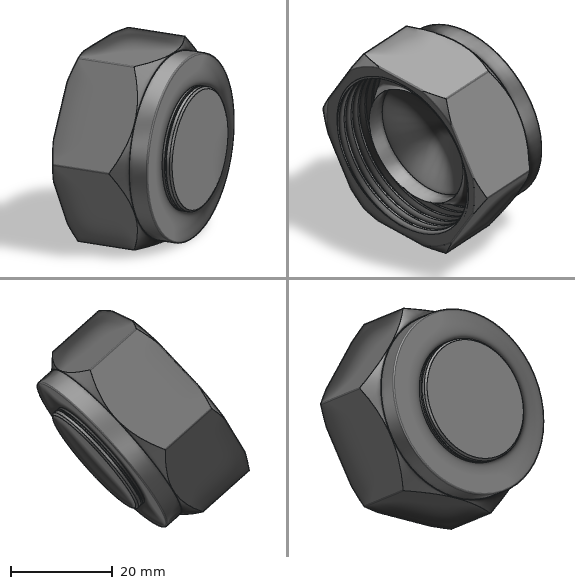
import cadquery as cq
import math


across_flats = 38.0
corner_radius = across_flats / 2 / math.cos(math.radians(30))
nut_length = 20.6
collar_length = 4.0
hexagon_length = nut_length - collar_length
collar_radius = 18.95
edge_round = 0.25
front_face_radius = 19.7
front_chamfer_angle = 30.0
back_chamfer_angle = 45.0

pitch = 2.0
thread_major_radius = 18.0
flank_slope = math.tan(math.radians(30))
sharp_thread_height = pitch / (2 * flank_slope)
thread_depth = sharp_thread_height * 5 / 8
bore_radius = thread_major_radius - thread_depth
root_width = pitch / 8
thread_turn_angle = 219.0

stem_radius = 12.5
nose_x = 4.5
seat_x = 12.0
plug_end = 22.6
hole_depth = 3.8
drill_half_angle = 60.0
drill_tip_depth = stem_radius / math.tan(math.radians(drill_half_angle))
groove_start = nut_length + 0.5
groove_width = 0.4
groove_depth = 0.5
end_chamfer = 0.4


def revolve_about_x(outline):
    """Turn a closed outline of (x, radius) points about the X axis."""
    return cq.Workplane("XY").polyline(outline).close().revolve(360, (0, 0, 0), (1, 0, 0))


def make_hexagon():
    """Hexagonal prism with conical chamfers at both ends and rounded edges around its flats."""
    prism = (
        cq.Workplane("YZ").polygon(6, 2 * corner_radius).extrude(hexagon_length)
        .edges("|X").fillet(edge_round)
    )
    outside = corner_radius + 1.0
    front_run = (outside - front_face_radius) * math.tan(math.radians(front_chamfer_angle))
    back_run = (outside - collar_radius) * math.tan(math.radians(back_chamfer_angle))
    envelope = revolve_about_x([
        (0, 0),
        (0, front_face_radius),
        (front_run, outside),
        (hexagon_length - back_run, outside),
        (hexagon_length, collar_radius),
        (hexagon_length, 0),
    ])
    blank = prism.intersect(envelope)
    flat_edges = blank.faces("%PLANE").faces("not #X").edges()
    return blank.newObject(flat_edges.vals()).fillet(edge_round)


def make_collar():
    return (
        cq.Workplane("YZ", origin=(hexagon_length, 0, 0))
        .circle(collar_radius).extrude(collar_length)
        .faces(">X").edges().fillet(edge_round)
    )


def make_thread_groove():
    """Right-hand helical groove from the front face to the seat; it overlaps the bore a little."""
    overlap = 0.2
    inner_radius = bore_radius - overlap
    root_half = root_width / 2
    mouth_half = root_half + (thread_depth + overlap) * flank_slope

    helix = cq.Wire.makeHelix(pitch, seat_x + 2 * pitch, bore_radius)
    profile = cq.Workplane("XZ").polyline([
        (inner_radius, -mouth_half),
        (thread_major_radius, -root_half),
        (thread_major_radius, root_half),
        (inner_radius, mouth_half),
    ]).close()
    groove = (
        profile.sweep(cq.Workplane(helix), isFrenet=True)
        .rotate((0, 0, 0), (0, 1, 0), 90)
        .translate((-pitch, 0, 0))
        .rotate((0, 0, 0), (1, 0, 0), thread_turn_angle)
    )
    threaded_length = (
        cq.Workplane("YZ", origin=(-pitch, 0, 0)).circle(corner_radius).extrude(pitch + seat_x)
    )
    return groove.intersect(threaded_length)


def make_nut():
    stepped_bore = revolve_about_x([
        (0, 0),
        (0, bore_radius),
        (seat_x, bore_radius),
        (seat_x, stem_radius),
        (nut_length, stem_radius),
        (nut_length, 0),
    ])
    return make_hexagon().union(make_collar()).cut(stepped_bore).cut(make_thread_groove())


def make_plug():
    """Cone that sits on the nut's inner shoulder, with a blind drilled hole and a grooved stem."""
    hole_bottom = nose_x + hole_depth
    groove_end = groove_start + groove_width
    groove_radius = stem_radius - groove_depth
    return revolve_about_x([
        (nose_x, stem_radius),
        (seat_x, bore_radius),
        (seat_x, stem_radius),
        (groove_start, stem_radius),
        (groove_start, groove_radius),
        (groove_end, groove_radius),
        (groove_end, stem_radius),
        (plug_end - end_chamfer, stem_radius),
        (plug_end, stem_radius - end_chamfer),
        (plug_end, 0),
        (hole_bottom + drill_tip_depth, 0),
        (hole_bottom, stem_radius),
    ])


nut = make_nut()
plug = make_plug()
result = cq.Compound.makeCompound([*nut.solids().vals(), *plug.solids().vals()])